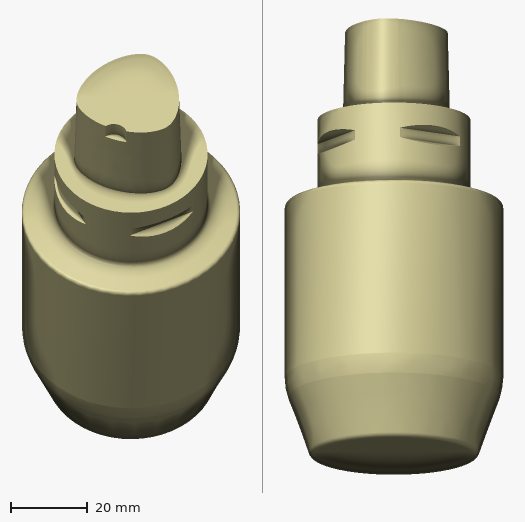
import cadquery as cq
import math

TOTAL_LENGTH = 114.0
BODY_DIAMETER = 57.0
FLANGE_DIAMETER = 40.0
BODY_RADIUS = BODY_DIAMETER / 2
FLANGE_RADIUS = FLANGE_DIAMETER / 2

SHANK_LENGTH = 24.0
SHANK_DIAMETER = 28.0
SHANK_TAPER = 1 / 20
LOBE_HEIGHT = 1.0
LOBE_COUNT = 3
FIRST_LOBE_ANGLE = 90.0

NOTCH_RADIUS = 3.5
NOTCH_DEPTH = 4.2
NOTCH_FLOOR = 10.7

FLANGE_LENGTH = 20.2
GROOVE_COUNT = 4
FIRST_GROOVE_ANGLE = 45.0
GROOVE_FLOOR = 17.75
GROOVE_FLOOR_WIDTH = 2.5
GROOVE_FLANK_ANGLE = 30.0
GROOVE_DROP = 8.0

SHOULDER_ANGLE = 11.5
SHOULDER_FILLET = 1.0
NOSE_ANGLE = 20.0
NOSE_LENGTH = 18.2
NOSE_BLEND_RADIUS = 15.0
NOSE_EDGE_FILLET = 1.5

FLANGE_TOP = TOTAL_LENGTH - SHANK_LENGTH

SELECTION_MARGIN = 0.1
CUT_CLEARANCE = 1.0
POINTS_PER_SPAN = 9


def fillet_ring(solid, height, radius):
    """Round the circular edge that lies at the given height."""
    slab = cq.selectors.BoxSelector(
        (-BODY_DIAMETER, -BODY_DIAMETER, height - SELECTION_MARGIN),
        (BODY_DIAMETER, BODY_DIAMETER, height + SELECTION_MARGIN),
    )
    return solid.edges(slab).edges("%CIRCLE").fillet(radius)


def make_body():
    """Revolved flange, conical shoulder, cylinder and nose cone."""
    fillet_setback = SHOULDER_FILLET * math.tan(math.radians(90 - SHOULDER_ANGLE) / 2)
    shoulder_top = FLANGE_TOP - FLANGE_LENGTH - fillet_setback
    shoulder_fall = (BODY_RADIUS - FLANGE_RADIUS) * math.tan(math.radians(SHOULDER_ANGLE))
    shoulder_bottom = shoulder_top - shoulder_fall
    nose_radius = BODY_RADIUS - NOSE_LENGTH * math.tan(math.radians(NOSE_ANGLE))

    body = (
        cq.Workplane("XZ")
        .moveTo(0, 0)
        .lineTo(nose_radius, 0)
        .lineTo(BODY_RADIUS, NOSE_LENGTH)
        .lineTo(BODY_RADIUS, shoulder_bottom)
        .lineTo(FLANGE_RADIUS, shoulder_top)
        .lineTo(FLANGE_RADIUS, FLANGE_TOP)
        .lineTo(0, FLANGE_TOP)
        .close()
        .revolve(360, (0, 0, 0), (0, 1, 0))
    )

    body = fillet_ring(body, shoulder_top, SHOULDER_FILLET)
    body = fillet_ring(body, shoulder_bottom, SHOULDER_FILLET)
    body = fillet_ring(body, NOSE_LENGTH, NOSE_BLEND_RADIUS)
    return fillet_ring(body, 0, NOSE_EDGE_FILLET)


def lobed_point(angle, mean_radius, height):
    """Point of the constant-width lobed curve whose outward normal is at the given angle."""
    phase = LOBE_COUNT * (angle - math.radians(FIRST_LOBE_ANGLE))
    support = mean_radius + LOBE_HEIGHT * math.cos(phase)
    slope = -LOBE_COUNT * LOBE_HEIGHT * math.sin(phase)
    x = support * math.cos(angle) - slope * math.sin(angle)
    y = support * math.sin(angle) + slope * math.cos(angle)
    return cq.Vector(x, y, height)


def lobed_wire(mean_radius, height):
    """Closed lobed outline, split where each lobe runs into a flat."""
    span_count = 2 * LOBE_COUNT
    span = 2 * math.pi / span_count
    start = math.radians(FIRST_LOBE_ANGLE) - span / 2
    edges = []
    for index in range(span_count):
        points = []
        for step in range(POINTS_PER_SPAN):
            angle = start + span * (index + step / (POINTS_PER_SPAN - 1))
            points.append(lobed_point(angle, mean_radius, height))
        first = start + span * index
        ends = (first, first + span)
        tangents = [cq.Vector(-math.sin(angle), math.cos(angle), 0) for angle in ends]
        edges.append(cq.Edge.makeSpline(points, tangents=tangents))
    return cq.Wire.assembleEdges(edges)


def make_shank():
    base_radius = SHANK_DIAMETER / 2
    tip_radius = base_radius - SHANK_LENGTH * SHANK_TAPER / 2
    base = lobed_wire(base_radius, FLANGE_TOP)
    tip = lobed_wire(tip_radius, TOTAL_LENGTH)
    return cq.Workplane(obj=cq.Solid.makeLoft([base, tip], True))


def make_notch():
    return (
        cq.Workplane("XY", origin=(0, 0, TOTAL_LENGTH - NOTCH_DEPTH))
        .center(0, -NOTCH_FLOOR - NOTCH_RADIUS)
        .circle(NOTCH_RADIUS)
        .extrude(NOTCH_DEPTH)
    )


def make_groove(angle):
    """Straight groove with a flat floor and sloping flanks, facing the given direction."""
    middle = FLANGE_TOP - GROOVE_DROP
    outside = FLANGE_RADIUS + CUT_CLEARANCE
    floor_half = GROOVE_FLOOR_WIDTH / 2
    mouth_half = floor_half + (outside - GROOVE_FLOOR) * math.tan(math.radians(GROOVE_FLANK_ANGLE))
    return (
        cq.Workplane("XZ")
        .moveTo(GROOVE_FLOOR, middle - floor_half)
        .lineTo(outside, middle - mouth_half)
        .lineTo(outside, middle + mouth_half)
        .lineTo(GROOVE_FLOOR, middle + floor_half)
        .close()
        .extrude(FLANGE_RADIUS, both=True)
        .rotate((0, 0, 0), (0, 0, 1), angle)
    )


result = make_body().union(make_shank()).cut(make_notch())
for groove_index in range(GROOVE_COUNT):
    groove_angle = FIRST_GROOVE_ANGLE + groove_index * 360 / GROOVE_COUNT
    result = result.cut(make_groove(groove_angle))